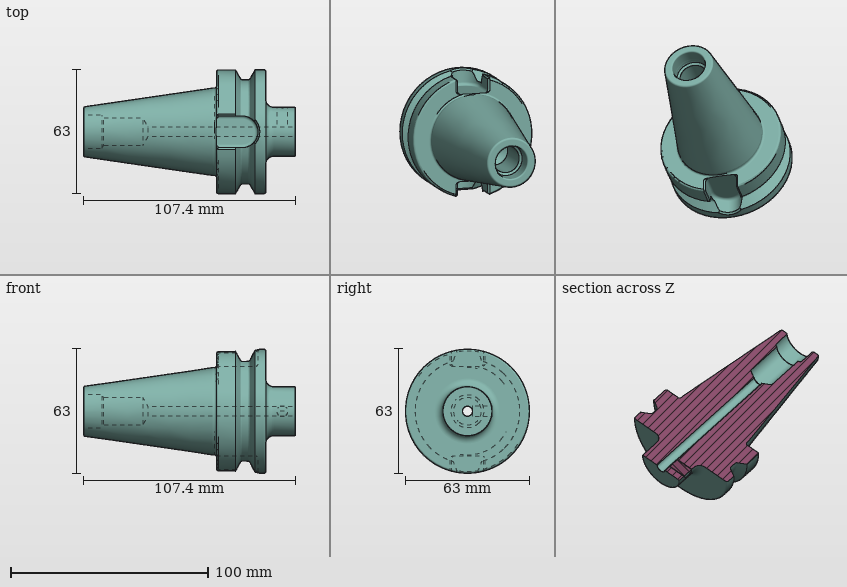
import cadquery as cq
import math


GAUGE_RADIUS = 44.45 / 2
TAPER_LENGTH = 65.4
TAPER_RATIO = 7 / 24
SMALL_END_RADIUS = GAUGE_RADIUS - TAPER_LENGTH * TAPER_RATIO / 2
SMALL_END_ROUND = 1.0
NECK_LENGTH = 2.0
NECK_FILLET = 1.0

FLANGE_RADIUS = 63 / 2
FLANGE_START = TAPER_LENGTH + NECK_LENGTH
FLANGE_END = TAPER_LENGTH + 27
FLANGE_ROUND = 1.0

GROOVE_CENTER = TAPER_LENGTH + 16.6
GROOVE_RADIUS = 53 / 2
GROOVE_HALF_ANGLE = math.radians(30)
GROOVE_TOP_HALF_WIDTH = 5.01
GROOVE_BASE_HALF_WIDTH = (
    GROOVE_TOP_HALF_WIDTH - (FLANGE_RADIUS - GROOVE_RADIUS) * math.tan(GROOVE_HALF_ANGLE)
)
GROOVE_FILLET = 1.0
GROOVE_TOP_START = GROOVE_CENTER - GROOVE_TOP_HALF_WIDTH
GROOVE_TOP_END = GROOVE_CENTER + GROOVE_TOP_HALF_WIDTH
GROOVE_BASE_START = GROOVE_CENTER - GROOVE_BASE_HALF_WIDTH
GROOVE_BASE_END = GROOVE_CENTER + GROOVE_BASE_HALF_WIDTH

TOTAL_LENGTH = 107.4
NOSE_RADIUS = 25 / 2
NOSE_FILLET = 4.0
NOSE_TAPER_LENGTH = 0.5
NOSE_TAPER_STEP = 0.13

SLOT_HALF_WIDTH = 16.1 / 2
SLOT_FLOOR = 22.6
SLOT_END_CENTER = TAPER_LENGTH + 15
SLOT_OPEN_END = FLANGE_START - 5
SLOT_FLOOR_FILLET = 1.6
SLOT_BEVEL = 0.9

GUIDE_RADIUS = 17 / 2
GUIDE_ROUND = 0.75
GUIDE_END = 9.2
GUIDE_STEP_START = 6.7
GUIDE_STEP_LENGTH = 0.6
GUIDE_MIDDLE_RADIUS = GUIDE_RADIUS - 0.05
GUIDE_END_RADIUS = GUIDE_RADIUS - 0.18
THREAD_RADIUS = 14 / 2
THREAD_END = 30.0
COUNTERSINK_HALF_ANGLE = math.radians(60)
DRILL_HALF_ANGLE = math.radians(60)
COOLANT_RADIUS = 5 / 2

SCREW_X = TOTAL_LENGTH - 6.65
SCREW_RADIUS = 5.5 / 2
SCREW_TOP = NOSE_RADIUS
SCREW_TIP = COOLANT_RADIUS

SELECT_MARGIN = 0.01


def revolve_about_x(outline):
    return outline.close().revolve(360, (0, 0, 0), (1, 0, 0))


def edges_within(body, low, high):
    """Edges that lie wholly inside the box between two corners."""
    low = tuple(value - SELECT_MARGIN for value in low)
    high = tuple(value + SELECT_MARGIN for value in high)
    return body.edges(cq.selectors.BoxSelector(low, high, boundingbox=True))


def round_circle(body, x, radius, size):
    """Fillet the circular edge of the given radius about the X axis at the given x."""
    in_plane = edges_within(body, (x, -radius, -radius), (x, radius, radius))
    circles = [edge for edge in in_plane.vals() if abs(edge.radius() - radius) < SELECT_MARGIN]
    return body.newObject(circles).fillet(size)


def make_turned_blank():
    blank = revolve_about_x(
        cq.Workplane("XY")
        .moveTo(0, 0)
        .lineTo(0, SMALL_END_RADIUS)
        .lineTo(TAPER_LENGTH, GAUGE_RADIUS)
        .lineTo(FLANGE_START, GAUGE_RADIUS)
        .lineTo(FLANGE_START, FLANGE_RADIUS)
        .lineTo(GROOVE_TOP_START, FLANGE_RADIUS)
        .lineTo(GROOVE_BASE_START, GROOVE_RADIUS)
        .lineTo(GROOVE_BASE_END, GROOVE_RADIUS)
        .lineTo(GROOVE_TOP_END, FLANGE_RADIUS)
        .lineTo(FLANGE_END, FLANGE_RADIUS)
        .lineTo(FLANGE_END, NOSE_RADIUS)
        .lineTo(TOTAL_LENGTH - NOSE_TAPER_LENGTH, NOSE_RADIUS)
        .lineTo(TOTAL_LENGTH, NOSE_RADIUS - NOSE_TAPER_STEP)
        .lineTo(TOTAL_LENGTH, 0)
    )
    rounds = [
        (0, SMALL_END_RADIUS, SMALL_END_ROUND),
        (FLANGE_START, GAUGE_RADIUS, NECK_FILLET),
        (FLANGE_START, FLANGE_RADIUS, FLANGE_ROUND),
        (GROOVE_BASE_START, GROOVE_RADIUS, GROOVE_FILLET),
        (GROOVE_BASE_END, GROOVE_RADIUS, GROOVE_FILLET),
        (FLANGE_END, FLANGE_RADIUS, FLANGE_ROUND),
        (FLANGE_END, NOSE_RADIUS, NOSE_FILLET),
    ]
    for x, radius, size in rounds:
        blank = round_circle(blank, x, radius, size)
    return blank


def make_slot_cutter():
    """Round-ended slot toward +Z, flared at the flange face and rounded along its floor."""
    half = SLOT_HALF_WIDTH
    flared_half = half + SLOT_BEVEL
    cutter = (
        cq.Workplane("XY", origin=(0, 0, SLOT_FLOOR))
        .moveTo(SLOT_OPEN_END, -flared_half)
        .lineTo(FLANGE_START, -flared_half)
        .lineTo(FLANGE_START + SLOT_BEVEL, -half)
        .lineTo(SLOT_END_CENTER, -half)
        .threePointArc((SLOT_END_CENTER + half, 0), (SLOT_END_CENTER, half))
        .lineTo(FLANGE_START + SLOT_BEVEL, half)
        .lineTo(FLANGE_START, flared_half)
        .lineTo(SLOT_OPEN_END, flared_half)
        .close()
        .extrude(FLANGE_RADIUS - SLOT_FLOOR + 1)
    )
    return cutter.faces("<Z").edges("not <X").fillet(SLOT_FLOOR_FILLET)


def make_slot_bevel_cutter():
    """Bar along X that bevels the straight edges between the slot and the flange rim."""
    rim_angle = math.asin(SLOT_HALF_WIDTH / FLANGE_RADIUS)
    rim_height = FLANGE_RADIUS * math.cos(rim_angle)
    wall_point = (SLOT_HALF_WIDTH, rim_height - SLOT_BEVEL)
    rim_point = (
        SLOT_HALF_WIDTH + SLOT_BEVEL * math.cos(rim_angle),
        rim_height - SLOT_BEVEL * math.sin(rim_angle),
    )
    return (
        cq.Workplane("YZ", origin=(SLOT_OPEN_END, 0, 0))
        .moveTo(-wall_point[0], wall_point[1])
        .lineTo(*wall_point)
        .lineTo(*rim_point)
        .lineTo(rim_point[0], FLANGE_RADIUS)
        .lineTo(-rim_point[0], FLANGE_RADIUS)
        .lineTo(-rim_point[0], rim_point[1])
        .close()
        .extrude(GROOVE_TOP_START - SLOT_OPEN_END)
    )


def cut_slots(body):
    for angle in (0, 180):
        for cutter in (make_slot_cutter(), make_slot_bevel_cutter()):
            body = body.cut(cutter.rotate((0, 0, 0), (1, 0, 0), angle))
    for side in (1, -1):
        heights = sorted((side * GROOVE_RADIUS, side * FLANGE_RADIUS))
        low = (GROOVE_TOP_END, -SLOT_HALF_WIDTH, heights[0])
        high = (FLANGE_END, SLOT_HALF_WIDTH, heights[1])
        body = edges_within(body, low, high).chamfer(SLOT_BEVEL)
    return body


def make_bore_cutter():
    countersink_depth = (GUIDE_END_RADIUS - THREAD_RADIUS) / math.tan(COUNTERSINK_HALF_ANGLE)
    drill_tip_depth = (THREAD_RADIUS - COOLANT_RADIUS) / math.tan(DRILL_HALF_ANGLE)
    return revolve_about_x(
        cq.Workplane("XY")
        .moveTo(0, 0)
        .lineTo(0, GUIDE_RADIUS)
        .lineTo(GUIDE_STEP_START, GUIDE_RADIUS)
        .lineTo(GUIDE_STEP_START + GUIDE_STEP_LENGTH, GUIDE_MIDDLE_RADIUS)
        .lineTo(GUIDE_END - GUIDE_STEP_LENGTH, GUIDE_MIDDLE_RADIUS)
        .lineTo(GUIDE_END, GUIDE_END_RADIUS)
        .lineTo(GUIDE_END + countersink_depth, THREAD_RADIUS)
        .lineTo(THREAD_END, THREAD_RADIUS)
        .lineTo(THREAD_END + drill_tip_depth, COOLANT_RADIUS)
        .lineTo(TOTAL_LENGTH, COOLANT_RADIUS)
        .lineTo(TOTAL_LENGTH, 0)
    )


def make_screw_cylinder(top):
    """Cylinder along +Y from the screw tip to the given height."""
    return (
        cq.Workplane("XZ", origin=(SCREW_X, SCREW_TIP, 0))
        .circle(SCREW_RADIUS)
        .extrude(-(top - SCREW_TIP))
    )


def make_holder():
    body = cut_slots(make_turned_blank())
    body = body.cut(make_bore_cutter())
    body = round_circle(body, 0, GUIDE_RADIUS, GUIDE_ROUND)
    return body.cut(make_screw_cylinder(NOSE_RADIUS + 1))


def make_clamping_screw():
    return make_screw_cylinder(SCREW_TOP)


holder = make_holder()
clamping_screw = make_clamping_screw()
result = cq.Compound.makeCompound([holder.solids().val(), clamping_screw.val()])